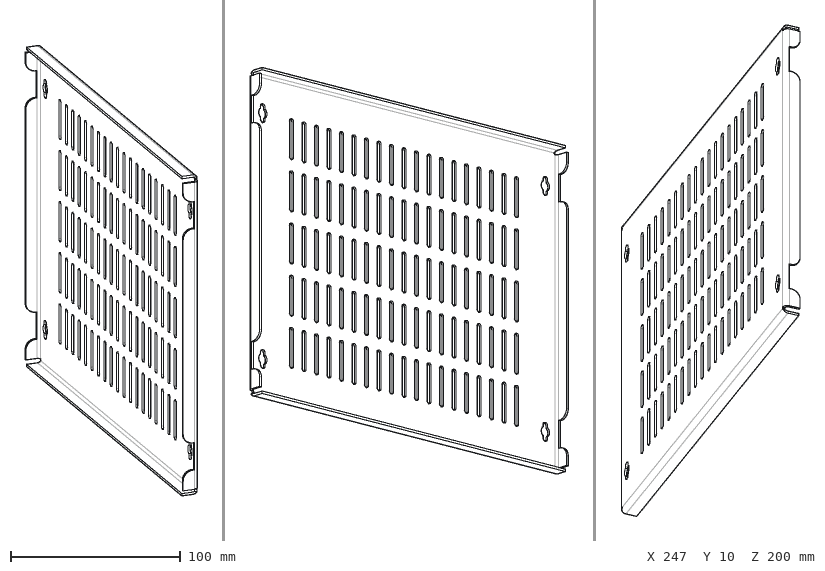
import cadquery as cq

width = 247.0
depth = 10.0
height = 200.0

thickness = 1.5
inner_radius = 1.5
outer_radius = inner_radius + thickness

top_flange_length = 242.7
side_flange_length = 192.2

bend_taper_size = 1.35

notch_offset = 75.5
notch_width = 17.0
tab_corner_radius = 6.0

slot_width = 3.0
slot_length = 25.0
slot_columns = 19
slot_column_pitch = 10.0
slot_rows = 5
slot_row_pitch = 32.0

mount_offset_x = 113.0
mount_offset_z = 75.4
mount_diameter = 6.5
mount_slot_width = 3.5
mount_slot_length = 11.5


def make_flat_panel():
    """Flat middle of the panel, reaching to the start of the bends."""
    flat_width = width - 2 * outer_radius
    flat_height = height - 2 * outer_radius
    return cq.Workplane("XY").box(flat_width, thickness, flat_height).translate((0, -thickness / 2, 0))


def make_flange(length, panel_size):
    """Bend and flange along the +X edge of a panel, centred on Z."""
    outer_face = panel_size / 2
    inner_face = outer_face - thickness
    bend_start = outer_face - outer_radius
    profile = (
        cq.Workplane("XY", origin=(0, 0, -length / 2))
        .moveTo(bend_start, 0)
        .radiusArc((outer_face, -outer_radius), outer_radius)
        .lineTo(outer_face, -depth)
        .lineTo(inner_face, -depth)
        .lineTo(inner_face, -outer_radius)
        .radiusArc((bend_start, -thickness), -inner_radius)
        .close()
    )
    return profile.extrude(length)


def make_notch(center_z):
    """Cutter for one flange notch, leaving rounded tab corners on both sides of it."""
    notch_floor = -outer_radius
    arc_end = -depth + tab_corner_radius
    half_width = notch_width / 2
    half_mouth = half_width + tab_corner_radius
    arc_mid_shift = tab_corner_radius * (1 - 0.5 ** 0.5)
    profile = (
        cq.Workplane("YZ", origin=(width / 2 - thickness, 0, center_z))
        .moveTo(notch_floor, -half_width)
        .lineTo(arc_end, -half_width)
        .threePointArc((-depth + arc_mid_shift, -half_width - arc_mid_shift), (-depth, -half_mouth))
        .lineTo(-depth, half_mouth)
        .threePointArc((-depth + arc_mid_shift, half_width + arc_mid_shift), (arc_end, half_width))
        .lineTo(notch_floor, half_width)
        .close()
    )
    return profile.extrude(thickness)


def make_side_flange():
    """Notched flange along the +X edge."""
    flange = make_flange(side_flange_length, width)
    for center_z in (-notch_offset, notch_offset):
        flange = flange.cut(make_notch(center_z))
    return flange


def make_bend_taper():
    """Triangular cutter for the +X end of the top bend."""
    flange_end = top_flange_length / 2
    bend_start = height / 2 - outer_radius
    profile = (
        cq.Workplane("XZ")
        .moveTo(flange_end, bend_start)
        .lineTo(flange_end - bend_taper_size, bend_start)
        .lineTo(flange_end, bend_start + bend_taper_size)
        .close()
    )
    return profile.extrude(depth)


def make_top_flange():
    """Flange along the +Z edge, with both ends of its bend tapered."""
    flange = make_flange(top_flange_length, height).rotate((0, 0, 0), (0, 1, 0), -90)
    bend_taper = make_bend_taper()
    return flange.cut(bend_taper).cut(bend_taper.mirror("YZ"))


def make_vent_slots():
    """Cutters for the grid of upright ventilation slots."""
    return (
        cq.Workplane("XZ")
        .rarray(slot_column_pitch, slot_row_pitch, slot_columns, slot_rows)
        .slot2D(slot_length, slot_width, 90)
        .extrude(thickness)
    )


def make_mounting_holes():
    """Cutters for the four mounting holes near the corners."""
    centers = cq.Workplane("XZ").rarray(2 * mount_offset_x, 2 * mount_offset_z, 2, 2)
    round_holes = centers.circle(mount_diameter / 2).extrude(thickness)
    upright_slots = centers.slot2D(mount_slot_length, mount_slot_width, 90).extrude(thickness)
    return round_holes.union(upright_slots)


side_flange = make_side_flange()
top_flange = make_top_flange()

result = (
    make_flat_panel()
    .cut(make_vent_slots())
    .cut(make_mounting_holes())
    .union(side_flange)
    .union(side_flange.mirror("YZ"))
    .union(top_flange)
    .union(top_flange.mirror("XY"))
)